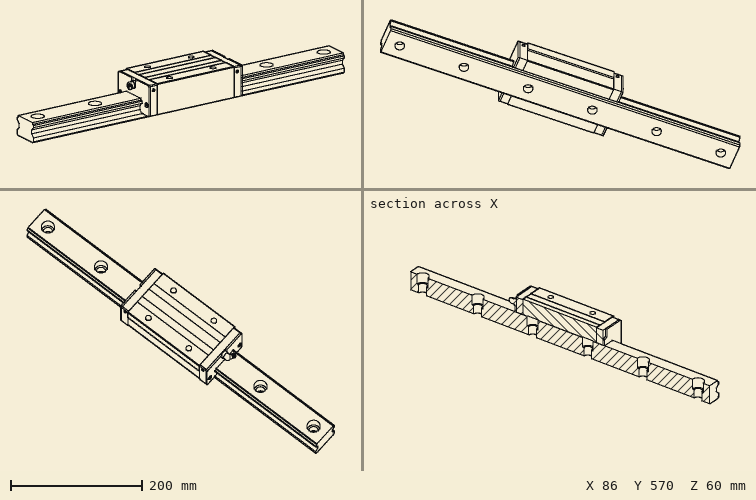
import cadquery as cq
import math

OVERLAP = 5.5

RAIL_LENGTH = 570.0
RAIL_WIDTH = 45.0
RAIL_HEIGHT = 32.5
RAIL_TOP_WIDTH = 39.5
RAIL_NECK_WIDTH = 35.0
RAIL_BASE_CHAMFER = 2.0
RAIL_BASE_TOP_Z = 8.5
RAIL_NECK_BOTTOM_Z = 13.5
RAIL_NECK_TOP_Z = 20.0
RAIL_HEAD_BOTTOM_Z = 25.0
RAIL_HEAD_TOP_Z = 28.5
TRACK_X = 20.0
LOWER_TRACK_Z = 23.0
UPPER_TRACK_Z = 29.5

MOUNT_COUNT = 6
MOUNT_PITCH = 105.0
MOUNT_BORE = 14.0
MOUNT_COUNTERBORE = 20.0
MOUNT_COUNTERBORE_DEPTH = 17.0

CARRIAGE_Y = -0.85
BLOCK_WIDTH = 86.0
BLOCK_LENGTH = 141.0
BLOCK_TOP_Z = 60.0
CARRIAGE_BOTTOM_Z = 9.0
BLOCK_CHAMFER = 1.0
DATUM_STEP = 1.5
DATUM_FACE_BOTTOM_Z = 41.0
TOP_GROOVE_INNER_X = 8.0
TOP_GROOVE_OUTER_X = 20.0
TOP_GROOVE_DEPTH = 0.5
BOLT_HOLE = 8.5
BOLT_HOLE_DEPTH = 17.0
DRILL_POINT_ANGLE = 118.0
BOLT_SPACING_X = 60.0
BOLT_SPACING_Y = 80.0

CAP_WIDTH = 83.0
CAP_TOP_Z = 58.5
CAP_CHAMFER = 1.5
CAP_THICKNESS = 12.5
SIDE_PORT = 4.5
SIDE_PORT_DEPTH = 3.0
SIDE_PORT_Z = 50.0
PLATE_THICKNESS = 3.0
PORT_Z = 49.0
SLOT_WIDTH = 12.0

SCREW_SPACING = 71.0
SCREW_Z = 26.0
SCREW_HEAD = 7.5
SCREW_HEAD_HEIGHT = 1.5
SCREW_SHOULDER_HEIGHT = 1.35
SCREW_SOCKET = 3.3

FLANGE_PROUD = 1.5
BODY_DIAMETER = 10.0
BODY_LENGTH = 5.0
DOME_HEIGHT = 4.0
NOSE_DIAMETER = 7.5
NOSE_NECK_DIAMETER = 5.5
NOSE_TIP_DIAMETER = 4.5
NOSE_NECK_START = 6.0
NOSE_NECK_END = 8.0
NOSE_TAPER_START = 9.5
NOSE_LENGTH = 12.0
NOSE_ANGLE = 30.0

BLOCK_HALF_LENGTH = BLOCK_LENGTH / 2
CAP_OUTER = BLOCK_HALF_LENGTH + CAP_THICKNESS
PLATE_OUTER = CAP_OUTER + PLATE_THICKNESS


def prism(sketch, y_start, y_end):
    """Extrude an XZ sketch from y_start up to y_end."""
    return sketch.extrude(y_end - y_start).translate((0, y_end, 0))


def cuboid(x_range, y_range, z_range):
    """Axis-aligned box given by its (low, high) limits."""
    lows, highs = zip(x_range, y_range, z_range)
    sizes = [high - low for low, high in zip(lows, highs)]
    return cq.Workplane("XY").box(*sizes, centered=False).translate(lows)


def rail_outline():
    """Points of the rail section, mirrored about its middle plane."""
    side = RAIL_WIDTH / 2
    neck = RAIL_NECK_WIDTH / 2
    right = [
        (side - RAIL_BASE_CHAMFER, 0),
        (side, RAIL_BASE_CHAMFER),
        (side, RAIL_BASE_TOP_Z),
        (neck, RAIL_NECK_BOTTOM_Z),
        (neck, RAIL_NECK_TOP_Z),
        (TRACK_X, LOWER_TRACK_Z),
        (side, RAIL_HEAD_BOTTOM_Z),
        (side, RAIL_HEAD_TOP_Z),
        (TRACK_X, UPPER_TRACK_Z),
        (RAIL_TOP_WIDTH / 2, RAIL_HEIGHT),
    ]
    left = [(-x, z) for x, z in reversed(right)]
    return right + left


def make_rail_bar():
    """Plain rail without holes; it also cuts the passage through the carriage."""
    section = cq.Workplane("XZ").polyline(rail_outline()).close()
    return prism(section, -RAIL_LENGTH / 2, RAIL_LENGTH / 2)


def make_rail(bar):
    """Rail with a row of counterbored mounting holes."""
    first_y = -(MOUNT_COUNT - 1) * MOUNT_PITCH / 2
    places = [(0, first_y + i * MOUNT_PITCH) for i in range(MOUNT_COUNT)]
    return (
        bar.faces(">Z")
        .workplane(origin=(0, 0, RAIL_HEIGHT))
        .pushPoints(places)
        .cboreHole(MOUNT_BORE, MOUNT_COUNTERBORE, MOUNT_COUNTERBORE_DEPTH)
    )


def make_block(passage):
    """Carriage block around the rail, with a datum face on its -X side."""
    side = BLOCK_WIDTH / 2
    bottom, top, cut = CARRIAGE_BOTTOM_Z, BLOCK_TOP_Z, BLOCK_CHAMFER
    recess = side - DATUM_STEP
    outline = [
        (side - cut, bottom),
        (side, bottom + cut),
        (side, top - cut),
        (side - cut, top),
        (cut - side, top),
        (-side, top - cut),
        (-side, DATUM_FACE_BOTTOM_Z),
        (-recess, DATUM_FACE_BOTTOM_Z - DATUM_STEP),
        (-recess, bottom + cut),
        (cut - recess, bottom),
    ]
    y_range = (-BLOCK_HALF_LENGTH, BLOCK_HALF_LENGTH)
    block = prism(cq.Workplane("XZ").polyline(outline).close(), *y_range).cut(passage)

    groove_z = (top - TOP_GROOVE_DEPTH, top + OVERLAP)
    groove = cuboid((TOP_GROOVE_INNER_X, TOP_GROOVE_OUTER_X), y_range, groove_z)
    block = block.cut(groove).cut(groove.mirror("YZ"))

    radius = BOLT_HOLE / 2
    point_depth = BOLT_HOLE_DEPTH + radius / math.tan(math.radians(DRILL_POINT_ANGLE / 2))
    drill = (
        cq.Workplane("XZ")
        .polyline([(0, 0), (radius, 0), (radius, -BOLT_HOLE_DEPTH), (0, -point_depth)])
        .close()
        .revolve(360, (0, 0, 0), (0, 1, 0))
    )
    for x in (-BOLT_SPACING_X / 2, BOLT_SPACING_X / 2):
        for y in (-BOLT_SPACING_Y / 2, BOLT_SPACING_Y / 2):
            block = block.cut(drill.translate((x, y, top)))
    return block


def cap_slab(y_start, y_end, passage):
    """Slab with the outline shared by the end caps and the seal plates."""
    side = CAP_WIDTH / 2
    outline = [
        (side, CARRIAGE_BOTTOM_Z),
        (side, CAP_TOP_Z - CAP_CHAMFER),
        (side - CAP_CHAMFER, CAP_TOP_Z),
        (CAP_CHAMFER - side, CAP_TOP_Z),
        (-side, CAP_TOP_Z - CAP_CHAMFER),
        (-side, CARRIAGE_BOTTOM_Z),
    ]
    return prism(cq.Workplane("XZ").polyline(outline).close(), y_start, y_end).cut(passage)


def make_end_cap(passage):
    """End cap at the -Y end of the block, with a blind port in each side."""
    cap = cap_slab(-CAP_OUTER, -BLOCK_HALF_LENGTH, passage)
    port_y = -(BLOCK_HALF_LENGTH + CAP_OUTER) / 2
    port = (
        cq.Workplane("YZ", origin=(CAP_WIDTH / 2 - SIDE_PORT_DEPTH, port_y, SIDE_PORT_Z))
        .circle(SIDE_PORT / 2)
        .extrude(SIDE_PORT_DEPTH + OVERLAP)
    )
    return cap.cut(port).cut(port.mirror("YZ"))


def make_seal_plate(passage):
    """Seal plate outside the -Y end cap, with a round-bottomed slot open at the top."""
    y_range = (-PLATE_OUTER, -CAP_OUTER)
    half_slot = SLOT_WIDTH / 2
    slot_end = prism(cq.Workplane("XZ").center(0, PORT_Z).circle(half_slot), *y_range)
    slot_sides = cuboid((-half_slot, half_slot), y_range, (PORT_Z, CAP_TOP_Z + OVERLAP))
    return cap_slab(*y_range, passage).cut(slot_end).cut(slot_sides)


def spin_about_y(profile):
    """Turn a profile of (radius, y) points in the XY plane about the Y axis."""
    return profile.close().revolve(360, (0, 0, 0), (0, 1, 0))


def screw_head(x):
    """Domed screw head with a round socket, on the outer face of the -Y seal plate."""
    rim = SCREW_HEAD / 2
    socket = SCREW_SOCKET / 2
    shoulder = ((rim + socket) / 2, -SCREW_SHOULDER_HEIGHT)
    head = spin_about_y(
        cq.Workplane("XY")
        .moveTo(socket, 0)
        .lineTo(rim, 0)
        .threePointArc(shoulder, (socket, -SCREW_HEAD_HEIGHT))
    )
    return head.translate((x, -PLATE_OUTER, SCREW_Z))


def make_front_seal_plate(plate):
    """Seal plate carrying its two screw heads."""
    for x in (-SCREW_SPACING / 2, SCREW_SPACING / 2):
        plate = plate.union(screw_head(x))
    return plate


def make_nipple():
    """Angled grease nipple seated in the slot of the -Y seal plate."""
    flange = SLOT_WIDTH / 2
    body = BODY_DIAMETER / 2
    body_start = -FLANGE_PROUD
    dome_start = body_start - BODY_LENGTH
    diagonal = math.sqrt(0.5)
    dome_shoulder = (body * diagonal, dome_start - DOME_HEIGHT * diagonal)
    stem = spin_about_y(
        cq.Workplane("XY")
        .moveTo(0, PLATE_THICKNESS)
        .lineTo(flange, PLATE_THICKNESS)
        .lineTo(flange, body_start)
        .lineTo(body, body_start)
        .lineTo(body, dome_start)
        .threePointArc(dome_shoulder, (0, dome_start - DOME_HEIGHT))
    )
    nose_outline = [
        (0, 0),
        (NOSE_DIAMETER / 2, 0),
        (NOSE_DIAMETER / 2, -NOSE_NECK_START),
        (NOSE_NECK_DIAMETER / 2, -NOSE_NECK_START),
        (NOSE_NECK_DIAMETER / 2, -NOSE_NECK_END),
        (NOSE_DIAMETER / 2, -NOSE_NECK_END),
        (NOSE_DIAMETER / 2, -NOSE_TAPER_START),
        (NOSE_TIP_DIAMETER / 2, -NOSE_LENGTH),
        (0, -NOSE_LENGTH),
    ]
    nose = (
        spin_about_y(cq.Workplane("XY").polyline(nose_outline))
        .rotate((0, 0, 0), (0, 0, 1), 90 - NOSE_ANGLE)
        .translate((0, dome_start, 0))
    )
    return stem.union(nose).translate((0, -PLATE_OUTER, PORT_Z))


rail_bar = make_rail_bar()
rail = make_rail(rail_bar)

block = make_block(rail_bar)
front_cap = make_end_cap(rail_bar)
back_cap = front_cap.mirror("XZ")
plain_plate = make_seal_plate(rail_bar)
front_plate = make_front_seal_plate(plain_plate)
back_plate = plain_plate.mirror("XZ")
nipple = make_nipple()

carriage = [block, front_cap, back_cap, front_plate, back_plate, nipple]
carriage_solids = [body.translate((0, CARRIAGE_Y, 0)).val() for body in carriage]

result = cq.Compound.makeCompound([rail.val(), *carriage_solids])